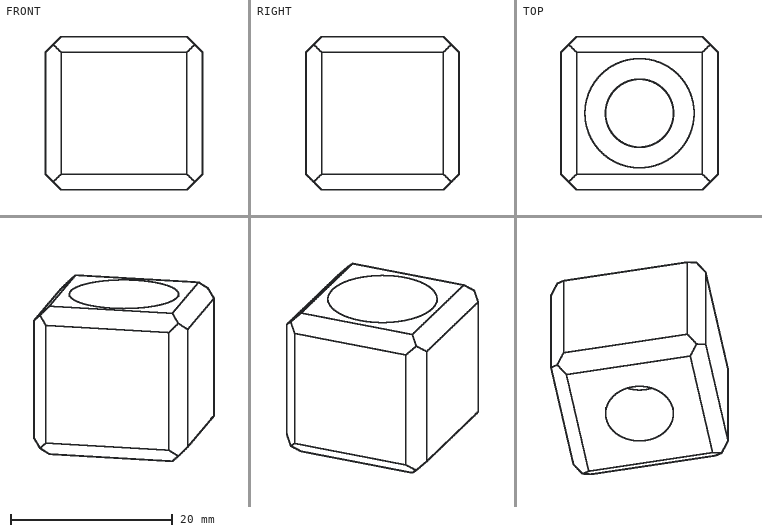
import cadquery as cq

length_x = 19.5
width_y = 19.0
height_z = 19.0
edge_chamfer = 1.95

bore_diameter = 13.53
bore_depth = 8.35
through_diameter = 8.4


def bar_chamfered_along(axis):
    """Full-size block with only the four edges parallel to the axis chamfered."""
    block = cq.Workplane("XY").box(length_x, width_y, height_z)
    return block.edges("|" + axis).chamfer(edge_chamfer)


body = bar_chamfered_along("X")
for axis in ("Y", "Z"):
    body = body.intersect(bar_chamfered_along(axis))

top_face = body.faces(">Z").workplane(origin=(0, 0, 0))
result = top_face.cboreHole(through_diameter, bore_diameter, bore_depth)